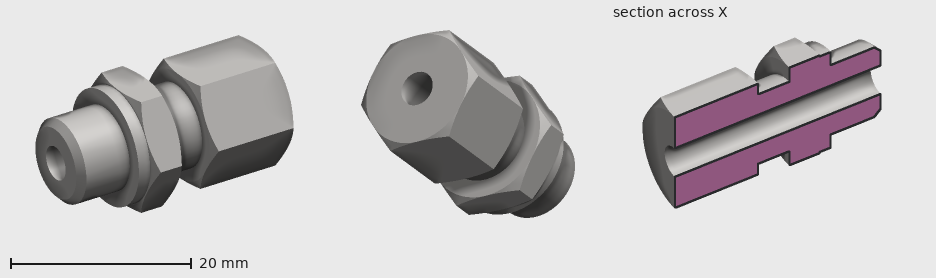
import cadquery as cq
import math

collar_start = 6.51
hex_start = 8.0
neck_start = 12.0
nut_start = 16.03
total_length = 27.03

body_radius = 5.0
bore_radius = 2.0
collar_radius = 6.87
body_hex_flats = 14.0
nut_flats = 13.0

thread_chamfer = 0.8
hex_chamfer_angle = math.radians(30)


def cylinder(radius, start, end):
    """Cylinder on the Y axis between two stations."""
    plane = cq.Workplane("XZ", origin=(0, start, 0))
    return plane.circle(radius).extrude(start - end)


def chamfered_hex(flats, start, end):
    """Hexagonal prism with corners on X, trimmed by a cone at each end."""
    corner_radius = flats / 2 / math.cos(math.pi / 6)
    face_radius = flats / 2
    chamfer_length = (corner_radius - face_radius) * math.tan(hex_chamfer_angle)
    prism = (
        cq.Workplane("XZ", origin=(0, start, 0))
        .polygon(6, 2 * corner_radius)
        .extrude(start - end)
    )
    envelope = (
        cq.Workplane("XY")
        .moveTo(0, start)
        .lineTo(face_radius, start)
        .lineTo(corner_radius, start + chamfer_length)
        .lineTo(corner_radius, end - chamfer_length)
        .lineTo(face_radius, end)
        .lineTo(0, end)
        .close()
        .revolve(360, (0, 0, 0), (0, 1, 0))
    )
    return prism.intersect(envelope)


body = cylinder(body_radius, 0, total_length).faces("<Y").chamfer(thread_chamfer)
collar = cylinder(collar_radius, collar_start, hex_start)
body_hex = chamfered_hex(body_hex_flats, hex_start, neck_start)
nut = chamfered_hex(nut_flats, nut_start, total_length)
bore = cylinder(bore_radius, 0, total_length)

result = body.union(collar).union(body_hex).union(nut).cut(bore)